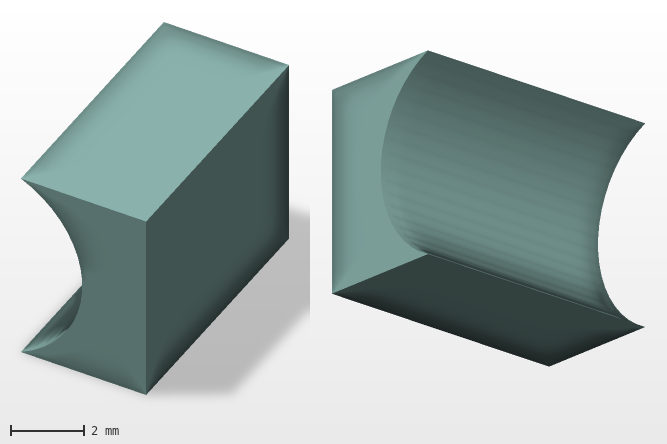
import math

import cadquery as cq

length = 8.0
height = 6.0
web = 2.0
groove_radius = 3.3

half_height = height / 2
back_x = groove_radius + web
lip_x = math.sqrt(groove_radius**2 - half_height**2)


def saddle_block():
    """Rectangular block whose -X face is a concave cylindrical groove."""
    return (
        cq.Workplane("XZ")
        .moveTo(lip_x, -half_height)
        .lineTo(back_x, -half_height)
        .lineTo(back_x, half_height)
        .lineTo(lip_x, half_height)
        .threePointArc((groove_radius, 0), (lip_x, -half_height))
        .close()
        .extrude(length / 2, both=True)
    )


result = saddle_block()